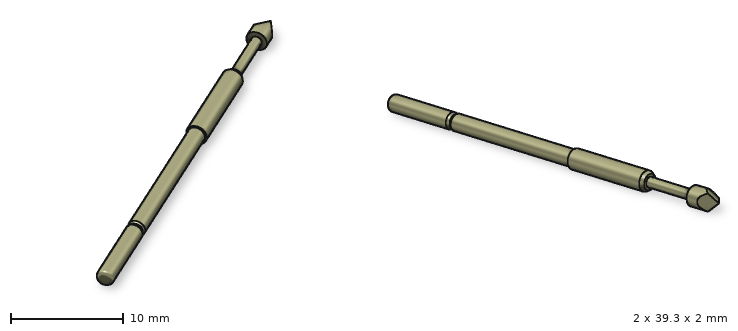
import cadquery as cq
import math

TOTAL_LENGTH = 39.3

HEAD_RADIUS = 1.0
HEAD_LENGTH = 3.0
TIP_FACES = 3
TIP_FACE_ANGLE = 30.0

NECK_RADIUS = 0.5
NECK_LENGTH = 5.3

COLLAR_RADIUS = 1.0
COLLAR_LENGTH = 9.0
COLLAR_TAPER_LENGTH = 0.4
COLLAR_FRONT_RADIUS = 0.77

BARREL_RADIUS = 0.825
BARREL_END_ROUND = 0.4

GROOVE_DEPTH = 0.12
GROOVE_REAR_Y = 7.2
GROOVE_BOTTOM_Y = 7.55
GROOVE_FRONT_Y = 7.8

HEAD_REAR_Y = TOTAL_LENGTH - HEAD_LENGTH
COLLAR_FRONT_Y = HEAD_REAR_Y - NECK_LENGTH
COLLAR_REAR_Y = COLLAR_FRONT_Y - COLLAR_LENGTH


def make_turned_body():
    """Half profile (radius, y) of the whole probe, revolved about the Y axis."""
    profile = (
        cq.Workplane("XY")
        .moveTo(0, 0)
        .lineTo(BARREL_RADIUS - BARREL_END_ROUND, 0)
        .radiusArc((BARREL_RADIUS, BARREL_END_ROUND), -BARREL_END_ROUND)
        .lineTo(BARREL_RADIUS, GROOVE_REAR_Y)
        .lineTo(BARREL_RADIUS - GROOVE_DEPTH, GROOVE_BOTTOM_Y)
        .lineTo(BARREL_RADIUS, GROOVE_FRONT_Y)
        .lineTo(BARREL_RADIUS, COLLAR_REAR_Y)
        .lineTo(COLLAR_RADIUS, COLLAR_REAR_Y)
        .lineTo(COLLAR_RADIUS, COLLAR_FRONT_Y - COLLAR_TAPER_LENGTH)
        .lineTo(COLLAR_FRONT_RADIUS, COLLAR_FRONT_Y)
        .lineTo(NECK_RADIUS, COLLAR_FRONT_Y)
        .lineTo(NECK_RADIUS, HEAD_REAR_Y)
        .lineTo(HEAD_RADIUS, HEAD_REAR_Y)
        .lineTo(HEAD_RADIUS, TOTAL_LENGTH)
        .lineTo(0, TOTAL_LENGTH)
        .close()
    )
    return profile.revolve(360, (0, 0, 0), (0, 1, 0))


def make_tip_cutter():
    """Wedge of material outside the facet whose outward normal leans toward +X."""
    reach = 2 * HEAD_RADIUS
    drop = reach / math.tan(math.radians(TIP_FACE_ANGLE))
    return (
        cq.Workplane("XY")
        .moveTo(0, TOTAL_LENGTH)
        .lineTo(reach, TOTAL_LENGTH)
        .lineTo(reach, TOTAL_LENGTH - drop)
        .close()
        .extrude(reach, both=True)
    )


def cut_pyramid_tip(body):
    """Sharpen the head into a regular pyramid with its apex on the axis."""
    cutter = make_tip_cutter()
    for face in range(TIP_FACES):
        angle = face * 360 / TIP_FACES
        body = body.cut(cutter.rotate((0, 0, 0), (0, 1, 0), angle))
    return body


result = cut_pyramid_tip(make_turned_body())